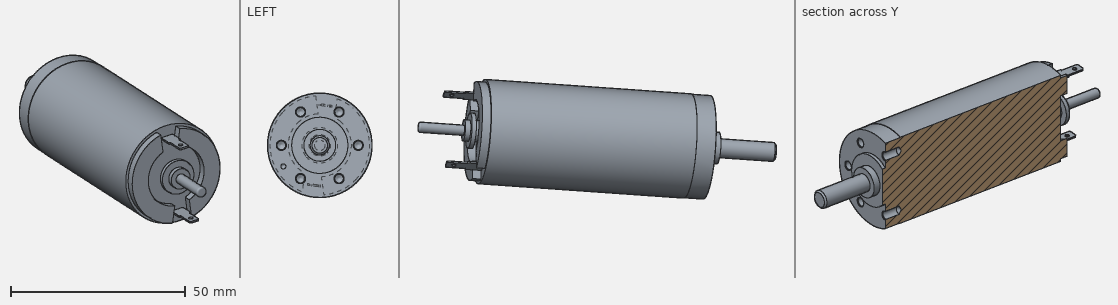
import cadquery as cq
import math

collar_start = 16.6
pilot_start = 18.8
head_start = 19.9
body_start = 25.5
body_end = 85.3
cap_end = 87.8
bearing_end = 89.1
hub_end = 90.6
overall_length = 103.7

output_shaft_diameter = 5.5
collar_diameter = 9.1
pilot_diameter = 16.1
head_diameter = 29.8
body_diameter = 30.0
cap_diameter = 28.4
cap_bore_diameter = 18.0
bearing_diameter = 10.2
hub_diameter = 6.1
rear_shaft_diameter = 3.0
output_shaft_chamfer = 0.5
rear_shaft_fillet = 0.5

mount_hole_count = 6
mount_circle_radius = 11.0
mount_hole_diameter = 2.5
mount_hole_chamfer = 0.2
mount_hole_depth = 5.2
pin_circle_radius = 12.0
pin_hole_angle = -30.0
pin_hole_diameter = 1.5
pin_hole_depth = 3.1
drill_point_angle = 118.0

slot_centre_y = -2.0
slot_base_z = 7.3
slot_base_width = 4.4
slot_wall_draft = 8.0

terminal_centre_y = -1.7
terminal_centre_z = 11.4
terminal_tilt = 8.0
terminal_thickness = 0.5
terminal_root_width = 3.7
terminal_tab_width = 2.9
terminal_shoulder = 90.1
terminal_end = 96.0
terminal_corner_chamfer = 0.3
terminal_hole_diameter = 1.2
terminal_hole_x = 93.7
terminal_embed = 1.0


def section(start, end, diameter):
    """Solid cylinder along X between two stations."""
    return cq.Workplane("YZ", origin=(start, 0, 0)).circle(diameter / 2).extrude(end - start)


def rear_cap():
    """Ring on the rear of the body, open around the hub."""
    return section(body_end, cap_end, cap_diameter).cut(section(body_end, cap_end, cap_bore_diameter))


def turned_motor():
    """All round sections of the motor, from output shaft to rear shaft."""
    output_shaft = section(0, collar_start, output_shaft_diameter).faces("<X").chamfer(output_shaft_chamfer)
    rear_shaft = section(hub_end, overall_length, rear_shaft_diameter)
    rear_shaft = rear_shaft.faces(">X").edges().fillet(rear_shaft_fillet)
    motor = section(body_start, body_end, body_diameter)
    motor = motor.union(section(head_start, body_start, head_diameter))
    motor = motor.union(section(pilot_start, head_start, pilot_diameter))
    motor = motor.union(section(collar_start, pilot_start, collar_diameter))
    motor = motor.union(rear_cap())
    motor = motor.union(section(body_end, hub_end, hub_diameter))
    motor = motor.union(section(cap_end, bearing_end, bearing_diameter))
    return motor.union(output_shaft).union(rear_shaft)


def drilled_hole(circle_radius, angle, diameter, depth, entry_chamfer=0):
    """Blind hole with a drill point, entering the front face; the angle runs from +Y toward +Z."""
    radius = diameter / 2
    wall_end = head_start + depth
    point_length = radius / math.tan(math.radians(drill_point_angle / 2))
    profile = cq.Workplane("XY").moveTo(head_start, 0).lineTo(head_start, radius + entry_chamfer)
    if entry_chamfer > 0:
        profile = profile.lineTo(head_start + entry_chamfer, radius)
    profile = profile.lineTo(wall_end, radius).lineTo(wall_end + point_length, 0).close()
    drill = profile.revolve(360, (0, 0, 0), (1, 0, 0))
    y = circle_radius * math.cos(math.radians(angle))
    z = circle_radius * math.sin(math.radians(angle))
    return drill.translate((0, y, z))


def terminal_slot():
    """Cutter for the flared slot through the upper wall of the rear cap ring into its bore."""
    height = body_diameter / 2 - slot_base_z
    base_half = slot_base_width / 2
    top_half = base_half + height * math.tan(math.radians(slot_wall_draft))
    return (
        cq.Workplane("YZ", origin=(body_end, slot_centre_y, slot_base_z))
        .polyline([(-base_half, 0), (base_half, 0), (top_half, height), (-top_half, height)])
        .close()
        .extrude(cap_end - body_end)
    )


def terminal():
    """Stepped blade with a cross hole, rooted in the rear face of the body and tilted about X."""
    root_start = body_end - terminal_embed
    root_length = terminal_shoulder - root_start
    tab_length = terminal_end - terminal_shoulder
    root = cq.Workplane("XY").box(
        root_length, terminal_root_width, terminal_thickness, centered=(False, True, True)
    )
    tab = (
        cq.Workplane("XY")
        .box(tab_length, terminal_tab_width, terminal_thickness, centered=(False, True, True))
        .edges("|Z and >X")
        .chamfer(terminal_corner_chamfer)
        .translate((root_length, 0, 0))
    )
    hole = (
        cq.Workplane("XY", origin=(terminal_hole_x - root_start, 0, -terminal_thickness))
        .circle(terminal_hole_diameter / 2)
        .extrude(2 * terminal_thickness)
    )
    blade = root.union(tab).cut(hole)
    blade = blade.rotate((0, 0, 0), (1, 0, 0), terminal_tilt)
    return blade.translate((root_start, terminal_centre_y, terminal_centre_z))


result = turned_motor()

for index in range(mount_hole_count):
    mount_angle = index * 360 / mount_hole_count
    mount_hole = drilled_hole(
        mount_circle_radius, mount_angle, mount_hole_diameter, mount_hole_depth, mount_hole_chamfer
    )
    result = result.cut(mount_hole)

pin_hole = drilled_hole(pin_circle_radius, pin_hole_angle, pin_hole_diameter, pin_hole_depth)
result = result.cut(pin_hole)

for turn in (0, 180):
    result = result.cut(terminal_slot().rotate((0, 0, 0), (1, 0, 0), turn))
    result = result.union(terminal().rotate((0, 0, 0), (1, 0, 0), turn))